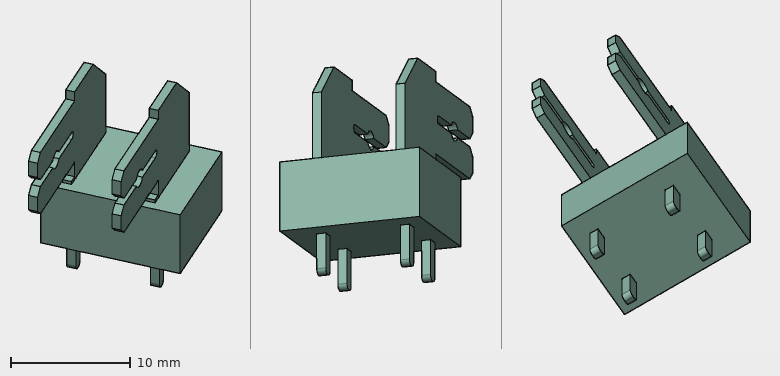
import cadquery as cq

housing_width = 12.5
housing_depth = 9.79
housing_height = 6.03

first_contact_inset = 2.02
contact_pitch = 7.5
contact_thickness = 0.81
first_contact_x = -housing_width / 2 + first_contact_inset
contact_positions = [first_contact_x, first_contact_x + contact_pitch]

overall_height = 18.5
leg_length = 3.5
leg_width = 1.02
leg_tip_radius = 0.46
leg_pitch = 5.0
rear_leg_y = -2.4
leg_positions = [rear_leg_y, rear_leg_y - leg_pitch]

plate_top = overall_height - leg_length
plate_rear = -0.85
plate_front = -8.15
plate_chamfer = 3.0
foot_front = -8.92
foot_height = 0.3

overall_depth = 16.85
tab_tip = -overall_depth
tab_height = 6.29
tab_shoulder = 0.9
tab_top = plate_top - tab_shoulder
tab_bottom = tab_top - tab_height
tab_middle = (tab_top + tab_bottom) / 2
tip_chamfer = 0.67
slot_width = 0.7
slot_end = -8.5
detent_y = -12.56
detent_diameter = 1.6



def side_plane(x):
    """YZ sketch plane at the low-X face of a contact centred on x."""
    return cq.Workplane("YZ", origin=(x - contact_thickness / 2, 0, 0))


def make_plate(x):
    """Upright plate with a chamfered rear corner and a low foot at the front."""
    outline = [
        (plate_rear, housing_height),
        (plate_rear, plate_top - plate_chamfer),
        (plate_rear - plate_chamfer, plate_top),
        (plate_front, plate_top),
        (plate_front, housing_height + foot_height),
        (foot_front, housing_height + foot_height),
        (foot_front, housing_height),
    ]
    return side_plane(x).polyline(outline).close().extrude(contact_thickness)


def make_prong(x, low, high):
    """One half of the tab, chamfered at both corners of its tip."""
    outline = [
        (plate_front, low),
        (plate_front, high),
        (tab_tip + tip_chamfer, high),
        (tab_tip, high - tip_chamfer),
        (tab_tip, low + tip_chamfer),
        (tab_tip + tip_chamfer, low),
    ]
    return side_plane(x).polyline(outline).close().extrude(contact_thickness)


def make_tab(x):
    """Two prongs joined at the root, split by a round-ended slot with a detent hole."""
    slot_low = tab_middle - slot_width / 2
    slot_high = tab_middle + slot_width / 2
    root_center = slot_end - slot_width / 2
    root = (
        side_plane(x)
        .moveTo(plate_front, slot_low)
        .lineTo(root_center, slot_low)
        .threePointArc((slot_end, tab_middle), (root_center, slot_high))
        .lineTo(plate_front, slot_high)
        .close()
        .extrude(contact_thickness)
    )
    detent = (
        side_plane(x)
        .center(detent_y, tab_middle)
        .circle(detent_diameter / 2)
        .extrude(contact_thickness)
    )
    lower_prong = make_prong(x, tab_bottom, slot_low)
    upper_prong = make_prong(x, slot_high, tab_top)
    return lower_prong.union(upper_prong).union(root).cut(detent)


def make_leg(x, y):
    """Leg through the housing, with the tip rounded across its width."""
    leg = cq.Workplane("XY", origin=(x, y, -leg_length)).box(
        contact_thickness, leg_width, leg_length + housing_height, centered=(True, True, False)
    )
    return leg.faces("<Z").edges("|X").fillet(leg_tip_radius)


def make_contact(x):
    contact = make_plate(x).union(make_tab(x))
    for y in leg_positions:
        contact = contact.union(make_leg(x, y))
    return contact


def make_housing():
    """Plain block with a through slot for every contact leg."""
    block = cq.Workplane("XY").box(
        housing_width, housing_depth, housing_height, centered=(True, False, False)
    ).translate((0, -housing_depth, 0))
    leg_slots = [(x, y) for x in contact_positions for y in leg_positions]
    slots = (
        cq.Workplane("XY")
        .pushPoints(leg_slots)
        .rect(contact_thickness, leg_width)
        .extrude(housing_height)
    )
    return block.cut(slots)


housing = make_housing()
contacts = [make_contact(x) for x in contact_positions]

result = cq.Compound.makeCompound([housing.val(), *[contact.val() for contact in contacts]])